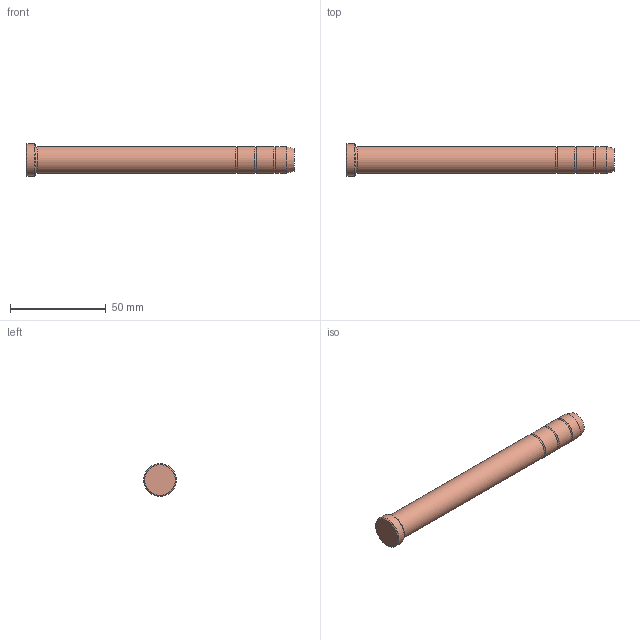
import cadquery as cq
import math

total_length = 140.0
head_diameter = 17.0
head_length = 5.0
head_chamfer = 0.5
shank_diameter = 14.0
groove_radius = 0.5
undercut_center = head_length + groove_radius
first_groove_center = 110.0
groove_spacing = 10.0
groove_count = 3
nose_length = 4.0
nose_half_angle = 15.0

head_radius = head_diameter / 2
shank_radius = shank_diameter / 2
nose_end_radius = shank_radius - nose_length * math.tan(math.radians(nose_half_angle))


def make_head():
    """Disc-shaped head with both rims chamfered."""
    head = cq.Workplane("YZ").circle(head_radius).extrude(head_length)
    return head.faces("<X or >X").chamfer(head_chamfer)


def make_shank():
    """Cylindrical shank ending in a conical lead-in nose."""
    nose_start = total_length - nose_length
    profile = (
        cq.Workplane("XY")
        .lineTo(0, shank_radius)
        .lineTo(nose_start, shank_radius)
        .lineTo(total_length, nose_end_radius)
        .lineTo(total_length, 0)
        .close()
    )
    return profile.revolve(360, (0, 0, 0), (1, 0, 0))


def make_groove(center):
    """Torus that cuts a half-round groove around the shank."""
    section = cq.Workplane("XY").center(center, shank_radius).circle(groove_radius)
    axis_start = (0, -shank_radius, 0)
    axis_end = (1, -shank_radius, 0)
    return section.revolve(360, axis_start, axis_end)


shank = make_shank()

shank = shank.cut(make_groove(undercut_center))

for index in range(groove_count):
    shank = shank.cut(make_groove(first_groove_center + index * groove_spacing))

result = make_head().union(shank)